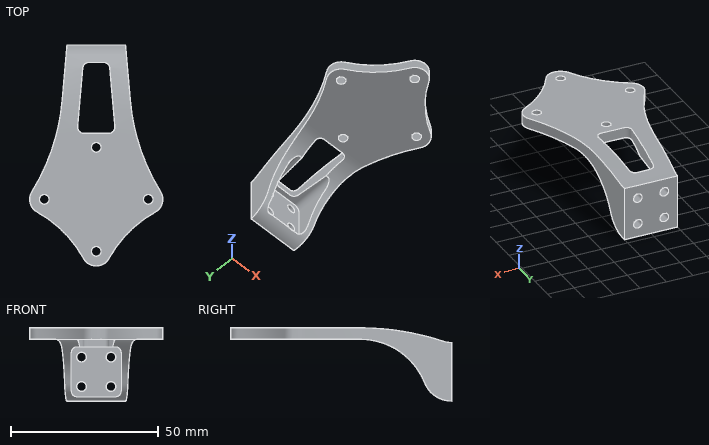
import cadquery as cq
import math

plate_thickness = 4.0
hole_diameter = 3.2
plate_hole_spacing = 25.0
plate_hole_radius = plate_hole_spacing / math.sqrt(2)
ear_radius = 5.0
front_scallop_radius = 40.0

arm_start_y = 21.5
back_y = 52.5
arm_end_half_width = 10.0
arm_taper = math.radians(5)
side_arc_radius = 70.0

mount_height = 20.0
mount_top_z = -1.0
mount_bottom_z = mount_top_z - mount_height
mount_center_z = (mount_top_z + mount_bottom_z) / 2
mount_wall = 4.0
mount_hole_spacing = 10.0
toe_radius = mount_height / 2
top_blend_radius = 10.0

pocket_size = 17.0
pocket_corner_radius = 2.0

window_start_y = 22.5
window_length = 24.0
window_end_y = window_start_y + window_length
window_rim = 6.15
window_corner_radius = 2.0


def arm_half_width(y):
    """Half width of the straight, tapered stretch of the arm, extended to any Y."""
    return arm_end_half_width + (back_y - y) * math.tan(arm_taper)


def toward(start, end, distance):
    """Point at the given distance from start, in the direction of end."""
    ratio = distance / math.dist(start, end)
    return tuple(s + (e - s) * ratio for s, e in zip(start, end))


def middle_of_arc(center, start, end):
    """Middle point of the shorter arc about center that runs from start to end."""
    chord_middle = tuple((s + e) / 2 for s, e in zip(start, end))
    return toward(center, chord_middle, math.dist(center, start))


def mirrored(point):
    return (-point[0], point[1])


def make_outline():
    """Plan outline: three rounded ears joined by tangent concave arcs, and the tapered arm."""
    side_ear = (plate_hole_radius, 0)
    front_ear = (0, -plate_hole_radius)

    half_gap = plate_hole_spacing / 2
    center_distance = math.sqrt((front_scallop_radius + ear_radius) ** 2 - half_gap**2)
    ear_midpoint = plate_hole_radius / 2
    diagonal = center_distance / math.sqrt(2)
    scallop_center = (ear_midpoint + diagonal, -ear_midpoint - diagonal)
    scallop_side = toward(side_ear, scallop_center, ear_radius)
    scallop_front = toward(front_ear, scallop_center, ear_radius)
    scallop_middle = middle_of_arc(scallop_center, scallop_side, scallop_front)

    normal = (math.cos(arm_taper), math.sin(arm_taper))
    along = (math.sin(arm_taper), -math.cos(arm_taper))
    base = (
        arm_end_half_width + side_arc_radius * normal[0] - side_ear[0],
        back_y + side_arc_radius * normal[1] - side_ear[1],
    )
    base_along = base[0] * along[0] + base[1] * along[1]
    base_across = base[0] * normal[0] + base[1] * normal[1]
    reach = math.sqrt((side_arc_radius + ear_radius) ** 2 - base_across**2)
    straight_length = -base_along - reach
    arm_corner = (arm_end_half_width, back_y)
    arc_start = tuple(c + straight_length * a for c, a in zip(arm_corner, along))
    arc_center = tuple(s + side_arc_radius * n for s, n in zip(arc_start, normal))
    arc_end = toward(side_ear, arc_center, ear_radius)
    arc_middle = middle_of_arc(arc_center, arc_start, arc_end)

    ear_tip = (plate_hole_radius + ear_radius, 0)
    front_tip = (0, -plate_hole_radius - ear_radius)
    return (
        cq.Workplane("XY", origin=(0, 0, mount_bottom_z))
        .moveTo(*arm_corner)
        .lineTo(*arc_start)
        .threePointArc(arc_middle, arc_end)
        .threePointArc(ear_tip, scallop_side)
        .threePointArc(scallop_middle, scallop_front)
        .threePointArc(front_tip, mirrored(scallop_front))
        .threePointArc(mirrored(scallop_middle), mirrored(scallop_side))
        .threePointArc(mirrored(ear_tip), mirrored(arc_end))
        .threePointArc(mirrored(arc_middle), mirrored(arc_start))
        .lineTo(*mirrored(arm_corner))
        .close()
        .extrude(plate_thickness - mount_bottom_z)
    )


def make_side_profile():
    """Side profile in YZ: flat plate, curved arm and rounded toe, spanning the full width."""
    arm_length = back_y - arm_start_y
    front_y = -plate_hole_radius - ear_radius
    half_width = plate_hole_radius + ear_radius

    top_drop = plate_thickness - mount_top_z
    top_radius = (arm_length**2 + top_drop**2) / (2 * top_drop) - top_blend_radius
    top_center = (arm_start_y, plate_thickness - top_radius)
    blend_center = (back_y, mount_top_z + top_blend_radius)
    top_join = toward(top_center, blend_center, top_radius)

    underside_drop = -mount_bottom_z
    underside_radius = (arm_length**2 + underside_drop**2) / (2 * underside_drop) - toe_radius
    underside_center = (arm_start_y, -underside_radius)
    toe_center = (back_y, mount_center_z)
    underside_join = toward(underside_center, toe_center, underside_radius)

    top_start = (arm_start_y, plate_thickness)
    top_end = (back_y, mount_top_z)
    toe_start = (back_y, mount_bottom_z)
    underside_end = (arm_start_y, 0)
    return (
        cq.Workplane("YZ", origin=(-half_width, 0, 0))
        .moveTo(front_y, plate_thickness)
        .lineTo(*top_start)
        .threePointArc(middle_of_arc(top_center, top_start, top_join), top_join)
        .threePointArc(middle_of_arc(blend_center, top_join, top_end), top_end)
        .lineTo(*toe_start)
        .threePointArc(middle_of_arc(toe_center, toe_start, underside_join), underside_join)
        .threePointArc(middle_of_arc(underside_center, underside_join, underside_end), underside_end)
        .lineTo(front_y, 0)
        .close()
        .extrude(2 * half_width)
    )


def make_plate_holes():
    return (
        cq.Workplane("XY")
        .polarArray(plate_hole_radius, 0, 360, 4)
        .circle(hole_diameter / 2)
        .extrude(plate_thickness)
    )


def make_window():
    """Tapered opening whose sides run parallel to the sides of the arm, down into the pocket."""
    start_half_width = arm_half_width(window_start_y) - window_rim
    end_half_width = arm_half_width(window_end_y) - window_rim
    corners = [
        (-start_half_width, window_start_y),
        (start_half_width, window_start_y),
        (end_half_width, window_end_y),
        (-end_half_width, window_end_y),
    ]
    return (
        cq.Workplane("XY", origin=(0, 0, mount_center_z))
        .polyline(corners)
        .close()
        .extrude(plate_thickness - mount_center_z)
        .edges("|Z")
        .fillet(window_corner_radius)
    )


def make_pocket():
    """Rounded square pocket, open toward the plate, that leaves a flat mounting wall."""
    pocket_floor_y = back_y - mount_wall
    return (
        cq.Workplane("XZ", origin=(0, pocket_floor_y, mount_center_z))
        .rect(pocket_size, pocket_size)
        .extrude(pocket_floor_y - arm_start_y)
        .edges("|Y")
        .fillet(pocket_corner_radius)
    )


def make_mount_holes():
    return (
        cq.Workplane("XZ", origin=(0, back_y, mount_center_z))
        .rarray(mount_hole_spacing, mount_hole_spacing, 2, 2)
        .circle(hole_diameter / 2)
        .extrude(mount_wall)
    )


body = make_outline().intersect(make_side_profile())
result = body.cut(make_plate_holes()).cut(make_pocket()).cut(make_window()).cut(make_mount_holes())